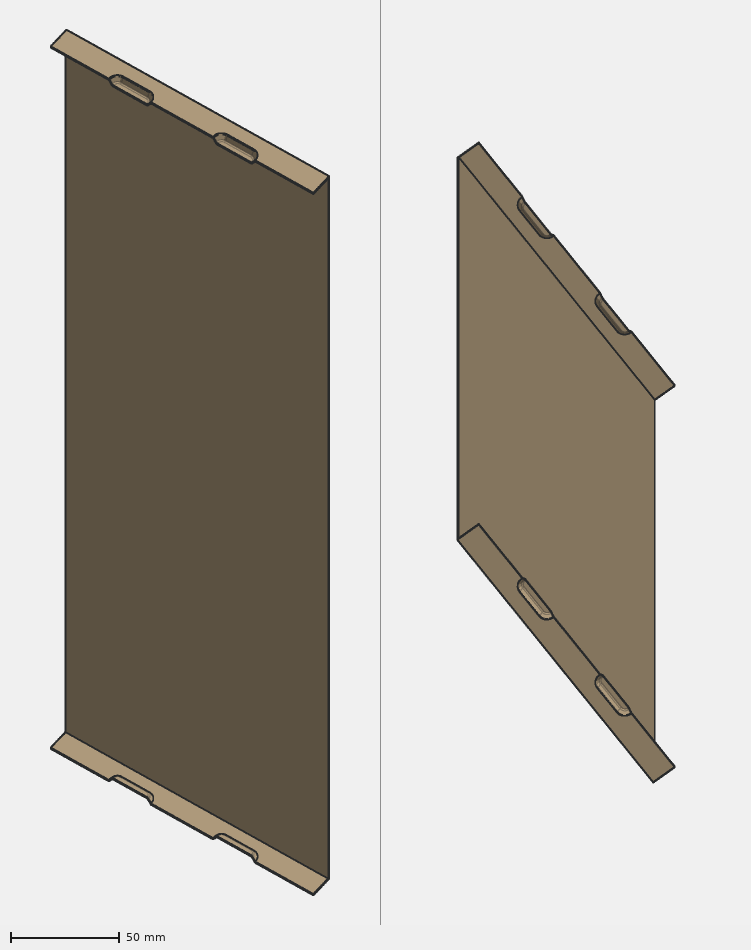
import cadquery as cq
import math

width = 150.0
depth = 12.5
height = 504.5

sheet = 1.0
outer_bend_radius = 0.2

dimple_offset = 29.75
dimple_length = 24.0
dimple_reach = 5.0
dimple_drop = 3.0
dimple_slope = 2.0
dimple_corner = 4.5
floor_round = 1.0


def channel():
    """Flat panel at +Y with a flange along its top and bottom, pointing to -Y."""
    outer = cq.Workplane("XY").box(width, depth, height).edges("|X and >Y").fillet(outer_bend_radius)
    cavity = cq.Workplane("XY").box(width, depth, height - 2 * sheet).translate((0, -sheet, 0))
    return outer.cut(cavity)


def tray(center_x, surface_z):
    """Block tapering down from a surface, rounded in plan and cut flat at the free edge."""
    free_edge = -depth / 2
    taper = math.degrees(math.atan2(dimple_slope, dimple_drop))
    full_tray = (
        cq.Workplane("XY", origin=(center_x, free_edge, surface_z))
        .sketch()
        .rect(dimple_length, 2 * dimple_reach)
        .vertices()
        .fillet(dimple_corner)
        .finalize()
        .extrude(-dimple_drop, taper=taper)
        .faces("<Z")
        .edges()
        .fillet(floor_round)
    )
    envelope = cq.Workplane("XY").box(width, depth, height)
    return full_tray.intersect(envelope)


def press_dimple(body, center_x):
    """Press one dimple into the top flange, keeping the vertical thickness."""
    top = height / 2
    return body.union(tray(center_x, top - sheet)).cut(tray(center_x, top))


upper_space = cq.Workplane("XY").box(width, depth, height / 2).translate((0, 0, height / 4))
upper_half = channel().intersect(upper_space)
for side in (-1, 1):
    upper_half = press_dimple(upper_half, side * dimple_offset)

result = upper_half.union(upper_half.mirror("XY")).clean()